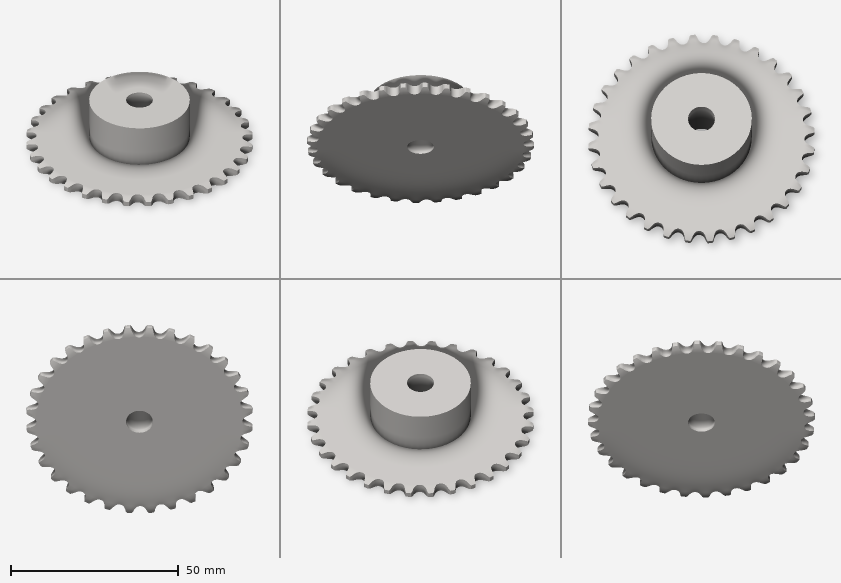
import cadquery as cq
import math

chain_pitch = 6.35
roller_diameter = 3.3

tooth_count = 32
tip_diameter = 67.6
plate_thickness = 2.88
hub_diameter = 30.0
total_height = 16.0
bore_diameter = 8.0

pitch_angle = 360.0 / tooth_count
pitch_radius = chain_pitch / (2 * math.sin(math.radians(pitch_angle / 2)))
tip_radius = tip_diameter / 2

seat_clearance = 0.003 * 25.4
seat_radius = (1.005 * roller_diameter + seat_clearance) / 2
seat_half_angle = 55.0 - 60.0 / tooth_count
working_offset = 0.8 * roller_diameter
working_radius = seat_radius + working_offset
working_end_angle = seat_half_angle + 18.0 - 56.0 / tooth_count
topping_offset = 1.4 * roller_diameter
root_radius = pitch_radius - seat_radius

side_radius = chain_pitch
side_start_radius = 30.9

overshoot = 0.2


def polar_point(center, radius, angle_from_root):
    """Point on an arc, with the angle measured from the inward (-Y) direction."""
    angle = math.radians(angle_from_root)
    return center[0] + radius * math.sin(angle), center[1] - radius * math.cos(angle)


def mirrored(point):
    return -point[0], point[1]


def make_tooth_gap():
    """Cutter for the gap centered on +Y."""
    roller_center = (0, pitch_radius)
    seat_end = polar_point(roller_center, seat_radius, seat_half_angle)

    working_center = polar_point(roller_center, -working_offset, seat_half_angle)
    working_mid_angle = (seat_half_angle + working_end_angle) / 2
    working_middle = polar_point(working_center, working_radius, working_mid_angle)
    working_end = polar_point(working_center, working_radius, working_end_angle)

    topping_center = polar_point(roller_center, topping_offset, 90 - pitch_angle / 2)
    normal = polar_point((0, 0), 1, working_end_angle)
    topping_radius = (topping_center[0] - working_end[0]) * normal[0]
    topping_radius += (topping_center[1] - working_end[1]) * normal[1]
    topping_start = polar_point(topping_center, -topping_radius, working_end_angle)

    def topping_point(height):
        rise = height - topping_center[1]
        return topping_center[0] - math.sqrt(topping_radius**2 - rise**2), height

    outer_height = tip_radius + overshoot
    topping_end = topping_point(outer_height)
    topping_middle = topping_point((topping_start[1] + outer_height) / 2)
    return (
        cq.Workplane("XY")
        .moveTo(*mirrored(topping_end))
        .threePointArc(mirrored(topping_middle), mirrored(topping_start))
        .lineTo(*mirrored(working_end))
        .threePointArc(mirrored(working_middle), mirrored(seat_end))
        .threePointArc((0, root_radius), seat_end)
        .threePointArc(working_middle, working_end)
        .lineTo(*topping_start)
        .threePointArc(topping_middle, topping_end)
        .close()
        .extrude(plate_thickness)
    )


def make_blank():
    """Disc whose rim is thinned by an arc tangent to each flat face."""

    def side_drop(radius):
        return side_radius - math.sqrt(side_radius**2 - (radius - side_start_radius) ** 2)

    middle_radius = (side_start_radius + tip_radius) / 2
    tip_drop = side_drop(tip_radius)
    middle_drop = side_drop(middle_radius)
    return (
        cq.Workplane("XZ")
        .lineTo(side_start_radius, 0)
        .threePointArc((middle_radius, middle_drop), (tip_radius, tip_drop))
        .lineTo(tip_radius, plate_thickness - tip_drop)
        .threePointArc(
            (middle_radius, plate_thickness - middle_drop),
            (side_start_radius, plate_thickness),
        )
        .lineTo(0, plate_thickness)
        .close()
        .revolve(360, (0, 0, 0), (0, 1, 0))
    )


def cut_teeth(blank):
    gap = make_tooth_gap().val()
    axis_start = cq.Vector(0, 0, 0)
    axis_end = cq.Vector(0, 0, 1)
    gaps = [gap.rotate(axis_start, axis_end, index * pitch_angle) for index in range(tooth_count)]
    return cq.Workplane("XY").newObject([blank.val().cut(*gaps)])


def add_hub(plate):
    hub = cq.Workplane("XY").circle(hub_diameter / 2).extrude(total_height)
    return plate.union(hub)


def cut_bore(body):
    bore = cq.Workplane("XY").circle(bore_diameter / 2).extrude(total_height)
    return body.cut(bore)


result = cut_bore(add_hub(cut_teeth(make_blank())))